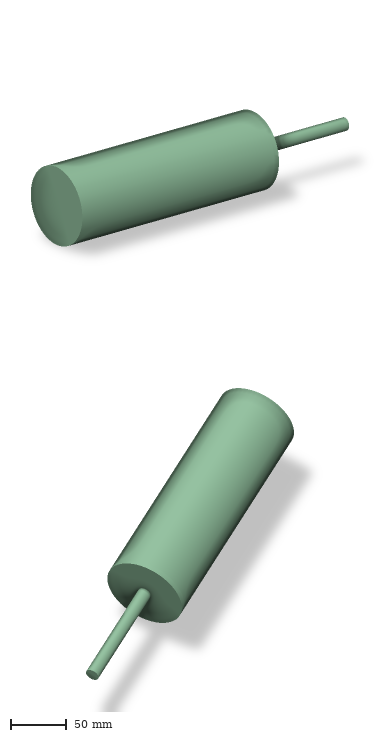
import cadquery as cq

total_length = 330.0
body_diameter = 75.0
rod_diameter = 12.5
rod_length = 105.0
cap_thickness = 5.0

front_y = -total_length / 2
rod_end_y = total_length / 2
cap_back_y = rod_end_y - rod_length
cap_front_y = cap_back_y - cap_thickness


def cylinder_along_y(diameter, start_y, end_y):
    """Solid cylinder about the Y axis between two Y positions."""
    plane = cq.Plane(origin=(0, start_y, 0), xDir=(1, 0, 0), normal=(0, 1, 0))
    return cq.Workplane(plane).circle(diameter / 2).extrude(end_y - start_y)


def make_barrel():
    """Plain round barrel, ending where the cap begins."""
    return cylinder_along_y(body_diameter, front_y, cap_front_y)


def make_capped_rod():
    """Cap disc that closes the barrel, with the rod rising from its back face."""
    cap = cylinder_along_y(body_diameter, cap_front_y, cap_back_y)
    rod = cylinder_along_y(rod_diameter, cap_front_y, rod_end_y)
    return cap.union(rod)


barrel = make_barrel()
capped_rod = make_capped_rod()

result = cq.Compound.makeCompound([barrel.val(), capped_rod.val()])